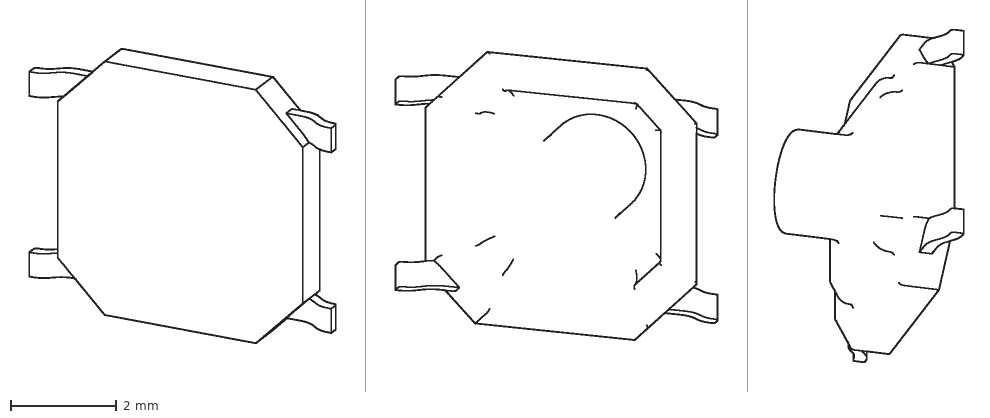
import cadquery as cq
import math

span = 6.4
height = 2.5

base_side = 5.2
base_corner = 1.0
base_thickness = 0.8
dome_side = 3.6
dome_corner = 0.5
dome_top = 1.2
dome_round = 0.3

plunger_diameter = 2.0
plunger_root_round = 0.3

small_round = 0.095

lead_width = 0.5
lead_thickness = 0.25
lead_inner_edge = base_side / 2 - base_corner
lead_rise = 0.295
foot_flat = 0.07
foot_bend_run = 0.31
slope_run = 0.08
shank_bend_run = 0.325
shank_end = 1.28


def octagon_block(side, corner, start, end):
    """Square block along Y with its four corners cut at 45 degrees."""
    return (
        cq.Workplane("XZ", origin=(0, start, 0))
        .rect(side, side)
        .extrude(start - end)
        .edges("|Y")
        .chamfer(corner)
    )


def make_housing():
    """Base, dome and plunger with their blends."""
    base = octagon_block(base_side, base_corner, 0, base_thickness)
    base = base.faces(">Y").edges().fillet(small_round)

    dome = octagon_block(dome_side, dome_corner, base_thickness, dome_top)
    dome = dome.faces(">Y").edges().fillet(dome_round)
    housing = base.union(dome)

    foot_reach = dome_side / 2 + small_round / 2
    foot_zone = cq.selectors.BoxSelector(
        (-foot_reach, base_thickness - small_round / 2, -foot_reach),
        (foot_reach, base_thickness + small_round / 2, foot_reach),
    )
    housing = housing.edges(foot_zone).edges("#Y").fillet(small_round)
    return housing.union(make_plunger())


def make_plunger():
    """Round plunger with a rounded top and a flared root."""
    radius = plunger_diameter / 2
    flare_radius = radius + plunger_root_round
    flare_top = dome_top + plunger_root_round
    diagonal = math.sqrt(0.5)
    flare_mid = (
        flare_radius - plunger_root_round * diagonal,
        flare_top - plunger_root_round * diagonal,
    )
    round_mid = (
        radius - small_round * (1 - diagonal),
        height - small_round * (1 - diagonal),
    )
    return (
        cq.Workplane("XY")
        .moveTo(0, base_thickness)
        .lineTo(radius, base_thickness)
        .lineTo(flare_radius, dome_top)
        .threePointArc(flare_mid, (radius, flare_top))
        .lineTo(radius, height - small_round)
        .threePointArc(round_mid, (radius - small_round, height))
        .lineTo(0, height)
        .close()
        .revolve(360, (0, 0, 0), (0, 1, 0))
    )


def bend_angle():
    """Slope angle for which the two bends and the slope add up to the lead rise."""
    bends = foot_bend_run + shank_bend_run
    t = lead_rise / (bends + 2 * slope_run)
    for _ in range(20):
        t = lead_rise / (bends + 2 * slope_run / (1 - t * t))
    return 2 * math.atan(t)


def make_lead():
    """Upper lead on the -X side; its top is its underside shifted by the thickness."""
    angle = bend_angle()
    foot_radius = foot_bend_run / math.sin(angle)
    shank_radius = shank_bend_run / math.sin(angle)
    shank_start = foot_flat + foot_bend_run + slope_run + shank_bend_run

    def foot_point(a, lift):
        return (foot_flat + foot_radius * math.sin(a), lift + foot_radius * (1 - math.cos(a)))

    def shank_point(a, lift):
        drop = shank_radius * (1 - math.cos(a))
        return (shank_start - shank_radius * math.sin(a), lift + lead_rise - drop)

    top = lead_thickness
    tip_inset = foot_flat * (1 - math.sqrt(0.5))
    profile = (
        cq.Workplane("XY", origin=(-span / 2, 0, lead_inner_edge))
        .moveTo(0, 0)
        .lineTo(foot_flat, 0)
        .threePointArc(foot_point(angle / 2, 0), foot_point(angle, 0))
        .lineTo(*shank_point(angle, 0))
        .threePointArc(shank_point(angle / 2, 0), (shank_start, lead_rise))
        .lineTo(shank_end, lead_rise)
        .lineTo(shank_end, lead_rise + top)
        .lineTo(shank_start, lead_rise + top)
        .threePointArc(shank_point(angle / 2, top), shank_point(angle, top))
        .lineTo(*foot_point(angle, top))
        .threePointArc(foot_point(angle / 2, top), (foot_flat, top))
        .threePointArc((tip_inset, top - tip_inset), (0, top - foot_flat))
        .close()
    )
    return profile.extrude(lead_width)


result = make_housing()
left_upper_lead = make_lead()
left_leads = left_upper_lead.union(left_upper_lead.mirror("XY"))
result = result.union(left_leads).union(left_leads.mirror("YZ"))